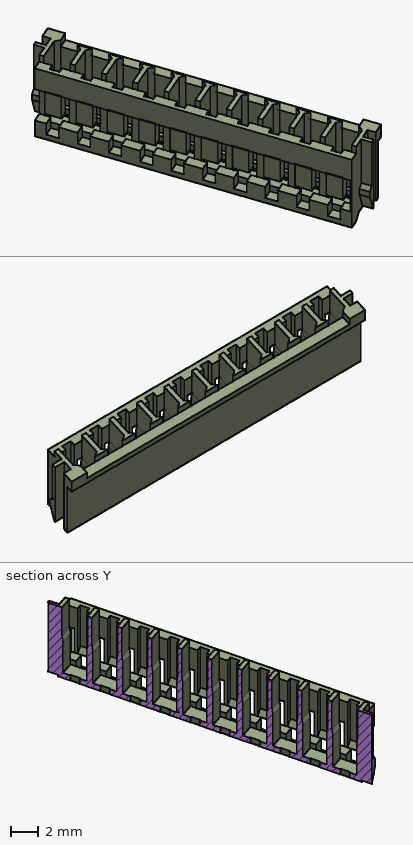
import cadquery as cq


length = 27.0
depth = 3.8
height = 7.2
body_length = 25.33
body_half = body_length / 2

contact_count = 10
row_span = 22.5
pitch = row_span / (contact_count - 1)
contact_places = [-row_span / 2 + i * pitch for i in range(contact_count)]

front_wall = 0.8
front_step = 0.65
underside = 0.5
underside_length = 2.55
slope_foot = 3.02
overhang = 0.5
overhang_height = 1.22
back_face = depth - overhang

flange_length = 26.62
flange_thickness = 0.97
flange_chamfer = 0.1

pocket_top_width = 2.1
pocket_floor_width = 1.95
taper_top = 4.54
taper_bottom = 4.0
pocket_back_width = 1.32
ledge_length = row_span + pocket_back_width
pocket_corner = 0.32
pocket_floor = 1.05
back_wall = 0.85
pocket_back = depth - back_wall
pin_hole = 0.75
pin_hole_center = 2.25

rail_top = 1.55
window_top = 4.54
end_web = 0.1
notch_width = 1.0
notch_floor = 0.49
finger_width = pocket_back_width
finger_setback = 0.08
finger_bottom = 2.3
slot_width = pin_hole
slot_depth = 0.43

rib_back = 2.02
rib_front = 1.7
rib_bottom = 0.62
rib_toe = 1.92
bump_front = 1.38
bump_shoulder = 3.0
bump_top = 2.67
bump_bottom = 2.13


def box(x_range, y_range, z_range):
    """Axis-aligned box between the given limits."""
    x0, x1 = x_range
    y0, y1 = y_range
    z0, z1 = z_range
    return cq.Workplane("XY").box(x1 - x0, y1 - y0, z1 - z0, centered=False).translate((x0, y0, z0))


def extrude_along_x(outline, x_start, x_end):
    """Extrude a (Y, Z) outline between two X places."""
    return cq.Workplane("YZ").workplane(offset=x_start).polyline(outline).close().extrude(x_end - x_start)


def make_body():
    wall_top = height - front_step
    foot = depth - slope_foot
    slope_top = depth - underside_length
    section = [
        (0, 0),
        (foot, 0),
        (slope_top, underside),
        (back_face, underside),
        (back_face, height - overhang_height),
        (depth, height - overhang_height),
        (depth, height),
        (front_wall, height),
        (front_wall, wall_top),
        (0, wall_top),
    ]
    return extrude_along_x(section, -body_half, body_half)


def make_flange():
    """Back plate that reaches past both ends of the body."""
    flange_front = depth - flange_thickness
    outline = [
        (flange_front, underside + flange_chamfer),
        (flange_front + flange_chamfer, underside),
        (back_face, underside),
        (back_face, height - overhang_height),
        (depth, height - overhang_height),
        (depth, height),
        (flange_front, height),
    ]
    return extrude_along_x(outline, -flange_length / 2, flange_length / 2)


def make_end_ribs():
    """Upright ribs on both ends, joined by the body between them."""
    outline = [
        (rib_back, rib_bottom),
        (rib_back, height),
        (rib_front, height),
        (rib_front, bump_shoulder),
        (bump_front, bump_top),
        (bump_front, bump_bottom),
        (rib_toe, rib_bottom),
    ]
    return extrude_along_x(outline, -length / 2, length / 2)


def make_pocket():
    """Tapered well with its two back corners cut off."""
    wide = pocket_top_width / 2
    narrow = pocket_floor_width / 2
    well = (
        cq.Workplane("XZ", origin=(0, front_wall, 0))
        .polyline([
            (-narrow, pocket_floor),
            (narrow, pocket_floor),
            (narrow, taper_bottom),
            (wide, taper_top),
            (wide, height),
            (-wide, height),
            (-wide, taper_top),
            (-narrow, taper_bottom),
        ])
        .close()
        .extrude(front_wall - pocket_back)
    )
    corner_y = pocket_back - pocket_corner
    plan = (
        cq.Workplane("XY")
        .polyline([
            (-wide, front_wall),
            (wide, front_wall),
            (wide, corner_y),
            (pocket_back_width / 2, pocket_back),
            (-pocket_back_width / 2, pocket_back),
            (-wide, corner_y),
        ])
        .close()
        .extrude(height)
    )
    return well.intersect(plan)


def make_pin_hole():
    half = pin_hole / 2
    return box((-half, half), (pin_hole_center - half, pin_hole_center + half), (0, height))


def make_rail_notch():
    half = notch_width / 2
    return box((-half, half), (0, front_wall), (notch_floor, rail_top))


def make_finger():
    """Finger that hangs from the front wall, with a small cut on its lower front edge."""
    outline = [
        (finger_setback, window_top),
        (finger_setback, finger_bottom + finger_setback),
        (2 * finger_setback, finger_bottom),
        (front_wall, finger_bottom),
        (front_wall, window_top),
    ]
    return extrude_along_x(outline, -finger_width / 2, finger_width / 2)


def make_slot():
    """Slot down the inner side of the front wall, ending in a 45 degree ramp."""
    slot_front = front_wall - slot_depth
    outline = [
        (slot_front, height),
        (slot_front, finger_bottom + slot_depth),
        (front_wall, finger_bottom),
        (front_wall, height),
    ]
    return extrude_along_x(outline, -slot_width / 2, slot_width / 2)


ledge = box((-ledge_length / 2, ledge_length / 2), (pocket_back, depth), (height - front_step, height))
window = box((-body_half, body_half - end_web), (0, front_wall), (rail_top, window_top))

solid = make_body().union(make_flange()).union(make_end_ribs())
solid = solid.cut(ledge).cut(window)
cutters = (make_pocket(), make_pin_hole(), make_rail_notch(), make_slot())
finger = make_finger()
for x in contact_places:
    place = (x, 0, 0)
    solid = solid.union(finger.translate(place))
    for cutter in cutters:
        solid = solid.cut(cutter.translate(place))

result = solid